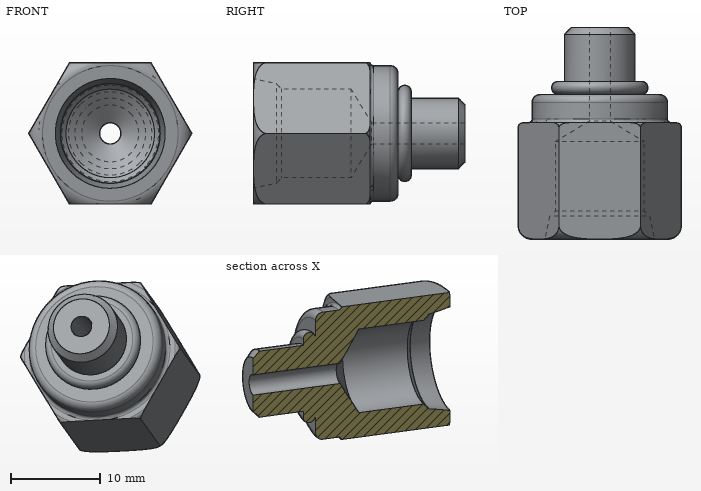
import cadquery as cq
import math

total_length = 23.8
across_flats = 15.875
across_corners = across_flats / math.cos(math.radians(30))

hex_length = 13.1
front_face_radius = 7.62
front_round_radius = across_corners / 2 - front_face_radius
rear_round_radius = 0.55

collar_radius = front_face_radius
collar_end = 16.27
collar_round_radius = 0.9
neck_fillet_radius = 0.4

stub_radius = 3.97
stub_chamfer = 0.77
ring_outer_radius = 5.42
ring_section_radius = 0.74

mouth_radius = 6.17
mouth_cone_half_angle = 12
mouth_depth = 2.6
step_width = 0.05
socket_radius = 4.97
socket_depth = 11.0
drill_half_angle = 59
passage_radius = 1.18

DIAGONAL = math.sqrt(0.5)


def revolve_about_y(profile):
    return profile.close().revolve(360, (0, 0, 0), (0, 1, 0))


def hex_prism():
    """Hexagon with two corners on the X axis, as long as the body and collar."""
    return (
        cq.Workplane("XZ")
        .polygon(6, across_corners)
        .extrude(-collar_end)
    )


def turned_blank():
    """Turned envelope that rounds the hexagon corners at both ends."""
    corner_radius = across_corners / 2
    front_arc_inset = front_round_radius * (1 - DIAGONAL)
    rear_arc_inset = rear_round_radius * (1 - DIAGONAL)
    return revolve_about_y(
        cq.Workplane("XY")
        .lineTo(front_face_radius, 0)
        .threePointArc(
            (corner_radius - front_arc_inset, front_arc_inset),
            (corner_radius, front_round_radius),
        )
        .lineTo(corner_radius, hex_length - rear_round_radius)
        .threePointArc(
            (corner_radius - rear_arc_inset, hex_length - rear_arc_inset),
            (corner_radius - rear_round_radius, hex_length),
        )
        .lineTo(0, hex_length)
    )


def collar():
    """Round collar, filleted into the hexagon and rounded at its rear edge."""
    fillet_reach = neck_fillet_radius * (1 - DIAGONAL)
    round_inset = collar_round_radius * (1 - DIAGONAL)
    return revolve_about_y(
        cq.Workplane("XY")
        .lineTo(0, hex_length)
        .lineTo(collar_radius + neck_fillet_radius, hex_length)
        .threePointArc(
            (collar_radius + fillet_reach, hex_length + fillet_reach),
            (collar_radius, hex_length + neck_fillet_radius),
        )
        .lineTo(collar_radius, collar_end - collar_round_radius)
        .threePointArc(
            (collar_radius - round_inset, collar_end - round_inset),
            (collar_radius - collar_round_radius, collar_end),
        )
        .lineTo(0, collar_end)
    )


def stub():
    """Plain round stub with a chamfered tip."""
    return (
        cq.Workplane("XZ", origin=(0, collar_end, 0))
        .circle(stub_radius)
        .extrude(collar_end - total_length)
        .faces(">Y")
        .chamfer(stub_chamfer)
    )


def sealing_ring():
    """Round-edged ring seated against the collar and around the stub."""
    ring_center_radius = ring_outer_radius - ring_section_radius
    ring_end = collar_end + 2 * ring_section_radius
    return revolve_about_y(
        cq.Workplane("XY")
        .moveTo(0, collar_end)
        .lineTo(ring_center_radius, collar_end)
        .threePointArc(
            (ring_outer_radius, collar_end + ring_section_radius),
            (ring_center_radius, ring_end),
        )
        .lineTo(0, ring_end)
    )


def bore():
    """Tapered mouth, small ledge, chamfered socket with a drilled end and a through passage."""
    cone_end_radius = mouth_radius - mouth_depth * math.tan(math.radians(mouth_cone_half_angle))
    chamfer_radius = cone_end_radius - step_width
    chamfer_end = mouth_depth + chamfer_radius - socket_radius
    drill_length = (socket_radius - passage_radius) / math.tan(math.radians(drill_half_angle))
    return revolve_about_y(
        cq.Workplane("XY")
        .lineTo(mouth_radius, 0)
        .lineTo(cone_end_radius, mouth_depth)
        .lineTo(chamfer_radius, mouth_depth)
        .lineTo(socket_radius, chamfer_end)
        .lineTo(socket_radius, socket_depth)
        .lineTo(passage_radius, socket_depth + drill_length)
        .lineTo(passage_radius, total_length)
        .lineTo(0, total_length)
    )


body = turned_blank().union(collar()).intersect(hex_prism())
result = body.union(stub()).union(sealing_ring()).cut(bore())